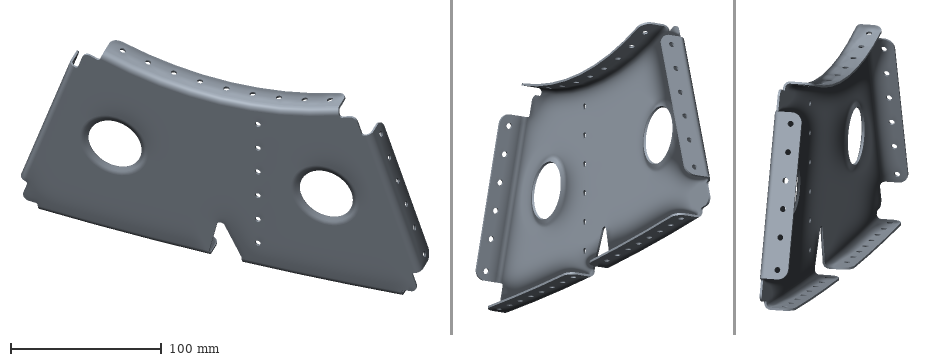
import cadquery as cq
import math

thickness = 1.5
outer_bend = 4.5
inner_bend = outer_bend - thickness
depth = 20.0
rim_corner = 7.0
rivet_diameter = 4.0
rivet_y = 12.5

half_width = 142.5
side_lean = math.radians(18.4)
side_low_z = 28.5
side_length = 111.5
side_first_rivet = 6.3
side_second_rivet = 28.0
side_rivet_pitch = 18.97
side_pitched_rivets = 5

height = 149.2
top_face_radius = 245.3
top_half_span = 83.3
top_rivets = 9
top_rivet_step = math.radians(4.36)

bottom_face_radius = 2082.3
bottom_half_span = 129.2
bottom_first_rivet = 22.5
bottom_rivet_pitch = 14.3
bottom_rivets = 8

notch_left = -7.5
notch_right = 15.7
notch_foot_z = 5.7
notch_apex = (-0.3, 37.0)
notch_round = 3.0

corner_inset = 2.15
corner_round = 4.5
relief_round = 1.7

lip_offset = 75.0
lip_z = 74.7
lip_outer_radius = 24.2
lip_opening_radius = 18.8
lip_bend = 6.0
lip_angle = math.radians(25)

column_x = 27.0
column_low_z = 21.0
column_pitch = 20.0
column_rivets = 6

top_half_angle = math.asin(top_half_span / top_face_radius)
top_center_z = height + top_face_radius * math.cos(top_half_angle)
top_bend_radius = top_face_radius + outer_bend
bottom_center_z = bottom_face_radius
bottom_bend_radius = bottom_face_radius - outer_bend
side_outward = cq.Vector(math.cos(side_lean), 0, math.sin(side_lean))
side_upward = cq.Vector(-math.sin(side_lean), 0, math.cos(side_lean))
side_origin = cq.Vector(half_width, 0, side_low_z) - side_outward * outer_bend


def side_point(outward, along):
    """Point in the front plane, measured from the lower end of the right bend line."""
    return side_origin + side_outward * outward + side_upward * along


def prism(points):
    """Web-thick plate from (x, z) points."""
    return cq.Workplane("XZ").polyline(points).close().extrude(-thickness)


def disc(center_z, radius):
    return cq.Workplane("XZ", origin=(0, 0, center_z)).circle(radius).extrude(-thickness)


def web_outline(inset):
    """Web bounded by the four bend lines, all moved inwards by inset."""
    low = side_point(-inset, -height)
    high = side_point(-inset, 2 * height)
    sides = prism([(low.x, low.z), (high.x, high.z), (-high.x, high.z), (-low.x, low.z)])
    bottom = disc(bottom_center_z, bottom_bend_radius - inset)
    top = disc(top_center_z, top_bend_radius + inset)
    return sides.intersect(bottom).cut(top)


def flange_spans():
    """Areas of the web that reach the bend lines: one strip behind each flange."""
    reach = 2 * outer_bend
    corners = [side_point(-reach, 0), side_point(reach, 0)]
    corners += [side_point(reach, side_length), side_point(-reach, side_length)]
    right = prism([(p.x, p.z) for p in corners])
    left = right.mirror("YZ")

    wedge_height = top_bend_radius + reach
    wedge_x = wedge_height * math.tan(top_half_angle)
    wedge_z = top_center_z - wedge_height
    top = prism([(0, top_center_z), (-wedge_x, wedge_z), (wedge_x, wedge_z)])

    bottom = prism([
        (-bottom_half_span, 0),
        (bottom_half_span, 0),
        (bottom_half_span, 2 * reach),
        (-bottom_half_span, 2 * reach),
    ])
    return [right, left, top, bottom]


def relief_points():
    """Inner corners of the web where it steps back beside each flange end."""
    points = []
    top_radius = top_bend_radius + corner_inset
    bottom_radius = bottom_bend_radius - corner_inset
    for sign in (-1, 1):
        for along in (0, side_length):
            corner = side_point(-corner_inset, along)
            points.append((sign * corner.x, thickness / 2, corner.z))
        top_z = top_center_z - top_radius * math.cos(top_half_angle)
        points.append((sign * top_radius * math.sin(top_half_angle), thickness / 2, top_z))
        bottom_z = bottom_center_z - math.sqrt(bottom_radius**2 - bottom_half_span**2)
        points.append((sign * bottom_half_span, thickness / 2, bottom_z))
    return points


def make_web():
    web = web_outline(corner_inset).edges("|Y").fillet(corner_round)
    full = web_outline(0)
    for span in flange_spans():
        web = web.union(full.intersect(span))
    for point in relief_points():
        nearest = cq.selectors.NearestToPointSelector(point)
        web = web.edges("|Y").edges(nearest).fillet(relief_round)
    return web


def flange_section(plane, start=0.0, outward=1):
    """Bend and flange wall; local x runs outward from the bend line, local y is depth."""
    diagonal = math.sqrt(0.5)

    def at(reach, y):
        return (start + outward * reach, y)

    def on_bend(radius):
        return at(radius * diagonal, outer_bend - radius * diagonal)

    return (
        cq.Workplane(plane)
        .moveTo(*at(0, 0))
        .threePointArc(on_bend(outer_bend), at(outer_bend, outer_bend))
        .lineTo(*at(outer_bend, depth))
        .lineTo(*at(inner_bend, depth))
        .lineTo(*at(inner_bend, outer_bend))
        .threePointArc(on_bend(inner_bend), at(0, thickness))
        .close()
    )


def round_rim(flange):
    """Round the two free corners of a flange."""
    rim_ends = flange.faces(">Y").edges().filter(lambda edge: edge.Length() < 2 * thickness)
    return rim_ends.fillet(rim_corner)


def rivet_drill(face_point, outward):
    """Cutter through a flange wall at a point on its exposed face."""
    start = face_point + outward * thickness
    return cq.Workplane(
        cq.Solid.makeCylinder(rivet_diameter / 2, 3 * thickness, start, outward * -1)
    )


def make_side_flange():
    """Right-hand straight flange."""
    plane = cq.Plane(origin=side_origin, xDir=side_outward, normal=side_upward)
    flange = round_rim(flange_section(plane).extrude(side_length))
    stations = [side_first_rivet]
    stations += [side_second_rivet + i * side_rivet_pitch for i in range(side_pitched_rivets)]
    for along in stations:
        point = side_point(outer_bend, along) + cq.Vector(0, rivet_y, 0)
        flange = flange.cut(rivet_drill(point, side_outward))
    return flange


def make_curved_flange(center_z, face_radius, outward, start_angle, end_angle, rivet_angles):
    """Flange along an arc centred above the web; angles run from straight down towards +X.

    outward is 1 when the flange lies on the far side of its bend line from the
    arc centre, -1 when it lies on the near side.
    """
    plane = cq.Plane(origin=(0, 0, center_z), xDir=(1, 0, 0), normal=(0, 0, 1))
    section = flange_section(plane, face_radius - outward * outer_bend, outward)
    sweep = math.degrees(end_angle - start_angle)
    flange = round_rim(section.revolve(sweep, (0, 0), (0, 1)))
    turn = 90 - math.degrees(end_angle)
    flange = flange.rotate((0, 0, center_z), (0, 1, center_z), turn)
    for angle in rivet_angles:
        radial = cq.Vector(math.sin(angle), 0, -math.cos(angle))
        point = cq.Vector(0, rivet_y, center_z) + radial * face_radius
        flange = flange.cut(rivet_drill(point, radial * outward))
    return flange


def make_top_flange():
    middle = (top_rivets - 1) / 2
    angles = [(i - middle) * top_rivet_step for i in range(top_rivets)]
    return make_curved_flange(
        top_center_z, top_face_radius, -1, -top_half_angle, top_half_angle, angles
    )


def make_bottom_flange(start_x, end_x, side):
    """Part of the bottom flange between two x positions; side is -1 left, 1 right."""
    def angle_at(x):
        return math.asin(x / bottom_face_radius)

    stations = [bottom_first_rivet + i * bottom_rivet_pitch for i in range(bottom_rivets)]
    angles = [angle_at(side * x) for x in stations]
    return make_curved_flange(
        bottom_center_z, bottom_face_radius, 1, angle_at(start_x), angle_at(end_x), angles
    )


def make_notch():
    notch = prism([
        (notch_left, -outer_bend),
        (notch_right, -outer_bend),
        (notch_right, notch_foot_z),
        notch_apex,
        (notch_left, notch_foot_z),
    ])
    return notch.edges("|Y").edges(">Z").fillet(notch_round)


def make_lip(x):
    """Flared lip of a lightening hole, turned towards the flange side."""
    def on_bend(radius, angle):
        return (
            lip_outer_radius - radius * math.sin(angle),
            lip_bend - radius * math.cos(angle),
        )

    lip_inner_bend = lip_bend - thickness
    bend_end = on_bend(lip_bend, lip_angle)
    tip_y = bend_end[1] + (bend_end[0] - lip_opening_radius) * math.tan(lip_angle)
    back_tip = (
        lip_opening_radius + thickness * math.sin(lip_angle),
        tip_y + thickness * math.cos(lip_angle),
    )
    return (
        cq.Workplane("XY", origin=(x, 0, lip_z))
        .moveTo(lip_outer_radius, 0)
        .threePointArc(on_bend(lip_bend, lip_angle / 2), bend_end)
        .lineTo(lip_opening_radius, tip_y)
        .lineTo(*back_tip)
        .lineTo(*on_bend(lip_inner_bend, lip_angle))
        .threePointArc(on_bend(lip_inner_bend, lip_angle / 2), (lip_outer_radius, thickness))
        .close()
        .revolve(360, (0, 0), (0, 1))
    )


result = make_web().cut(make_notch())
column = [(column_x, column_low_z + i * column_pitch) for i in range(column_rivets)]
rivet_column = cq.Workplane("XZ").pushPoints(column).circle(rivet_diameter / 2)
result = result.cut(rivet_column.extrude(-thickness))

for hole_x in (-lip_offset, lip_offset):
    opening = cq.Workplane("XZ", origin=(hole_x, 0, lip_z)).circle(lip_outer_radius)
    result = result.cut(opening.extrude(-thickness)).union(make_lip(hole_x))

right_flange = make_side_flange()
result = result.union(right_flange).union(right_flange.mirror("YZ")).union(make_top_flange())
result = result.union(make_bottom_flange(-bottom_half_span, notch_left, -1))
result = result.union(make_bottom_flange(notch_right, bottom_half_span, 1))